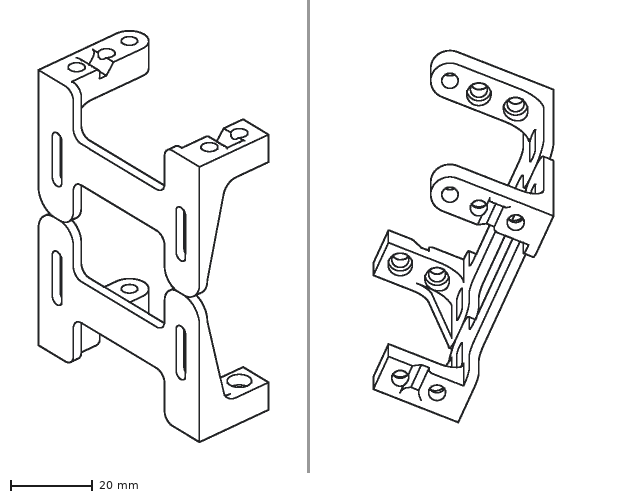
import cadquery as cq
TOTAL_HEIGHT = 80
WIDTH = 60
BRACKET_HEIGHT = TOTAL_HEIGHT / 2
HALF_WIDTH = WIDTH / 2
LEFT, RIGHT = -1, 1
SIDES = (LEFT, RIGHT)

PLATE_THICKNESS = 2.6
LEG_WIDTH = 13.0
WEB_HEIGHT = 12
CORNER_RADIUS = 3.0
TIP_OUTER_RADIUS = 6.0
TIP_INNER_RADIUS = 5.0

SLOT_WIDTH = 3.4
SLOT_LENGTH = 15.4
SLOT_INSET = 7.0
SLOT_BOTTOM = 9.5

FLANGE_WIDTH = 9.5
FLANGE_HEIGHT = 8
LEFT_FLANGE_LENGTH = 30.5
RIGHT_FLANGE_LENGTH = 22.7
FLANGE_FILLET = 6.5
FLANGE_UNDERSIDE = BRACKET_HEIGHT - FLANGE_HEIGHT
FLANGE_INNER_X = HALF_WIDTH - FLANGE_WIDTH

SCREW_DIAMETER = 4.2
SCREW_INSET = 5.3
SCREW_NEAR_Y = 7.9
SCREW_PITCH = 9.8
COUNTERBORE_DIAMETER = 6.0
COUNTERBORE_DEPTH = 3.0
PIVOT_DIAMETER = 4

RECESS_NEAR_Y = 10.6
RECESS_FAR_Y = 16.3
RECESS_SLOPE_RUN = 2.4
RECESS_DEPTH = 3.0
RECESS_INSET = 1.7
RECESS_ROUND = 1.3

RIB_THICKNESS = 2.2
RIB_HEIGHT = 6.1
RIB_FILLET = 4.2

PICK_MARGIN = 0.01


def edge_along(axis, point):
    """Selector for the straight edge parallel to the axis and centred on the point."""
    low = tuple(value - PICK_MARGIN for value in point)
    high = tuple(value + PICK_MARGIN for value in point)
    return cq.selectors.ParallelDirSelector(axis) & cq.selectors.BoxSelector(low, high)


def make_plate():
    """H-shaped plate with rounded corners and one slot in each leg."""
    leg_inner = HALF_WIDTH - LEG_WIDTH
    web_middle = BRACKET_HEIGHT / 2
    web_bottom = web_middle - WEB_HEIGHT / 2
    web_top = web_middle + WEB_HEIGHT / 2

    plate = (
        cq.Workplane("XZ", origin=(0, 0, web_middle))
        .rect(2 * leg_inner, WEB_HEIGHT)
        .extrude(-PLATE_THICKNESS)
    )
    leg_middle = HALF_WIDTH - LEG_WIDTH / 2
    for side in SIDES:
        leg = (
            cq.Workplane("XZ", origin=(side * leg_middle, 0, web_middle))
            .rect(LEG_WIDTH, BRACKET_HEIGHT)
            .extrude(-PLATE_THICKNESS)
        )
        plate = plate.union(leg)

    rounded_corners = (
        (leg_inner, web_bottom, CORNER_RADIUS),
        (leg_inner, web_top, CORNER_RADIUS),
        (leg_inner, BRACKET_HEIGHT, CORNER_RADIUS),
        (leg_inner, 0, TIP_INNER_RADIUS),
        (HALF_WIDTH, 0, TIP_OUTER_RADIUS),
    )
    for x, z, radius in rounded_corners:
        for side in SIDES:
            corner = (side * x, PLATE_THICKNESS / 2, z)
            plate = plate.edges(edge_along(cq.Vector(0, 1, 0), corner)).fillet(radius)

    slot_x = HALF_WIDTH - SLOT_INSET
    slot_z = SLOT_BOTTOM + SLOT_LENGTH / 2
    slots = (
        cq.Workplane("XZ")
        .pushPoints([(side * slot_x, slot_z) for side in SIDES])
        .slot2D(SLOT_LENGTH, SLOT_WIDTH, 90)
        .extrude(-PLATE_THICKNESS)
    )
    return plate.cut(slots)


def make_flange(side, length):
    """Square-ended flange with a concave fillet down to the plate."""
    fillet_bottom = FLANGE_UNDERSIDE - FLANGE_FILLET
    start_x = FLANGE_INNER_X if side == RIGHT else -HALF_WIDTH
    return (
        cq.Workplane("YZ", origin=(start_x, 0, 0))
        .moveTo(0, BRACKET_HEIGHT)
        .lineTo(length, BRACKET_HEIGHT)
        .lineTo(length, FLANGE_UNDERSIDE)
        .lineTo(PLATE_THICKNESS + FLANGE_FILLET, FLANGE_UNDERSIDE)
        .radiusArc((PLATE_THICKNESS, fillet_bottom), -FLANGE_FILLET)
        .lineTo(0, fillet_bottom)
        .close()
        .extrude(FLANGE_WIDTH)
    )


def make_left_flange():
    """Long flange with a full round end and a pivot hole concentric with it."""
    end_radius = FLANGE_WIDTH / 2
    pivot_y = LEFT_FLANGE_LENGTH - end_radius
    end_centre = cq.Workplane("XY", origin=(-HALF_WIDTH + end_radius, pivot_y, FLANGE_UNDERSIDE))
    round_end = end_centre.circle(end_radius).extrude(FLANGE_HEIGHT)
    pivot_hole = end_centre.circle(PIVOT_DIAMETER / 2).extrude(FLANGE_HEIGHT)
    return make_flange(LEFT, pivot_y).union(round_end).cut(pivot_hole)


def make_rib():
    """Tapered rib that blends into the underside of the right flange."""
    root_y = PLATE_THICKNESS + RIB_HEIGHT
    taper_end = TIP_OUTER_RADIUS
    rib = (
        cq.Workplane("YZ", origin=(HALF_WIDTH - RIB_THICKNESS, 0, 0))
        .moveTo(0, BRACKET_HEIGHT)
        .lineTo(RIGHT_FLANGE_LENGTH, BRACKET_HEIGHT)
        .lineTo(RIGHT_FLANGE_LENGTH, FLANGE_UNDERSIDE)
        .lineTo(root_y, FLANGE_UNDERSIDE)
        .lineTo(PLATE_THICKNESS, taper_end)
        .lineTo(0, taper_end)
        .close()
        .extrude(RIB_THICKNESS)
    )
    root = (HALF_WIDTH - RIB_THICKNESS / 2, root_y, FLANGE_UNDERSIDE)
    return rib.edges(edge_along(cq.Vector(1, 0, 0), root)).fillet(RIB_FILLET)


def make_screw_holes():
    """Cutter for two screw holes in each flange, counterbored from the underside."""
    screw_x = HALF_WIDTH - SCREW_INSET
    screw_ys = (SCREW_NEAR_Y, SCREW_NEAR_Y + SCREW_PITCH)
    points = [(side * screw_x, y) for side in SIDES for y in screw_ys]
    holes = (
        cq.Workplane("XY", origin=(0, 0, FLANGE_UNDERSIDE))
        .pushPoints(points)
        .circle(SCREW_DIAMETER / 2)
        .extrude(FLANGE_HEIGHT)
    )
    counterbores = (
        cq.Workplane("XY", origin=(0, 0, FLANGE_UNDERSIDE - FLANGE_FILLET))
        .pushPoints(points)
        .circle(COUNTERBORE_DIAMETER / 2)
        .extrude(FLANGE_FILLET + COUNTERBORE_DEPTH)
    )
    return holes.union(counterbores)


def make_recess(side):
    """Recess cutter: sloped far wall, near and end walls rounded over at the top."""
    floor = BRACKET_HEIGHT - RECESS_DEPTH
    round_bottom = BRACKET_HEIGHT - RECESS_ROUND
    near_wall_y = RECESS_NEAR_Y + RECESS_ROUND
    end_x = HALF_WIDTH - RECESS_INSET
    end_wall_x = end_x - RECESS_ROUND

    across_flange = (
        cq.Workplane("YZ", origin=(FLANGE_INNER_X, 0, 0))
        .moveTo(RECESS_NEAR_Y, BRACKET_HEIGHT)
        .radiusArc((near_wall_y, round_bottom), RECESS_ROUND)
        .lineTo(near_wall_y, floor)
        .lineTo(RECESS_FAR_Y - RECESS_SLOPE_RUN, floor)
        .lineTo(RECESS_FAR_Y, BRACKET_HEIGHT)
        .close()
        .extrude(end_x - FLANGE_INNER_X)
    )
    along_flange = (
        cq.Workplane("XZ")
        .moveTo(FLANGE_INNER_X, BRACKET_HEIGHT)
        .lineTo(end_x, BRACKET_HEIGHT)
        .radiusArc((end_wall_x, round_bottom), -RECESS_ROUND)
        .lineTo(end_wall_x, floor)
        .lineTo(FLANGE_INNER_X, floor)
        .close()
        .extrude(-RECESS_FAR_Y)
    )
    recess = across_flange.intersect(along_flange)
    return recess if side == RIGHT else recess.mirror("YZ")


def make_bracket():
    """Upper bracket: plate, two flanges and a rib, with the holes and recesses cut."""
    bracket = make_plate()
    for addition in (make_left_flange(), make_flange(RIGHT, RIGHT_FLANGE_LENGTH), make_rib()):
        bracket = bracket.union(addition)
    bracket = bracket.cut(make_screw_holes())
    for side in SIDES:
        bracket = bracket.cut(make_recess(side))
    return bracket


upper_bracket = make_bracket()
lower_bracket = upper_bracket.mirror("XY")
result = cq.Compound.makeCompound([upper_bracket.val(), lower_bracket.val()])